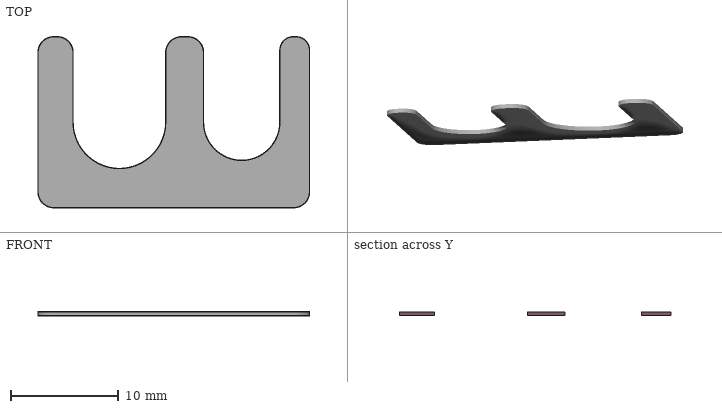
import cadquery as cq

length = 25.4
width = 16.0
thickness = 0.38
corner_radius = 1.5

slot_center_y = width / 2
large_slot_x = 7.62
large_slot_width = 8.64
small_slot_x = 19.05
small_slot_width = 7.1

tip_radius = 1.5
narrow_tip_radius = 1.27


def slot_cutter(center_x, slot_width):
    """Slot with a semicircular bottom, open through the +Y edge."""
    radius = slot_width / 2
    return (
        cq.Workplane("XY")
        .moveTo(center_x - radius, width)
        .lineTo(center_x - radius, slot_center_y)
        .threePointArc((center_x, slot_center_y - radius), (center_x + radius, slot_center_y))
        .lineTo(center_x + radius, width)
        .close()
        .extrude(thickness)
    )


plate = cq.Workplane("XY").box(length, width, thickness, centered=False)
plate = plate.cut(slot_cutter(large_slot_x, large_slot_width))
plate = plate.cut(slot_cutter(small_slot_x, small_slot_width))

plate = plate.edges("|Z and <Y").fillet(corner_radius)


def round_fingertip(body, left, right, radius):
    """Round both corners at the free end of the finger between left and right."""
    margin = 0.25
    selector = cq.selectors.BoxSelector(
        (left - margin, width - margin, -margin),
        (right + margin, width + margin, thickness + margin),
    )
    return body.edges("|Z").edges(selector).fillet(radius)


large_slot_left = large_slot_x - large_slot_width / 2
large_slot_right = large_slot_x + large_slot_width / 2
small_slot_left = small_slot_x - small_slot_width / 2
small_slot_right = small_slot_x + small_slot_width / 2

fingers = [
    (0, large_slot_left, tip_radius),
    (large_slot_right, small_slot_left, tip_radius),
    (small_slot_right, length, narrow_tip_radius),
]
for finger_left, finger_right, radius in fingers:
    plate = round_fingertip(plate, finger_left, finger_right, radius)

result = plate